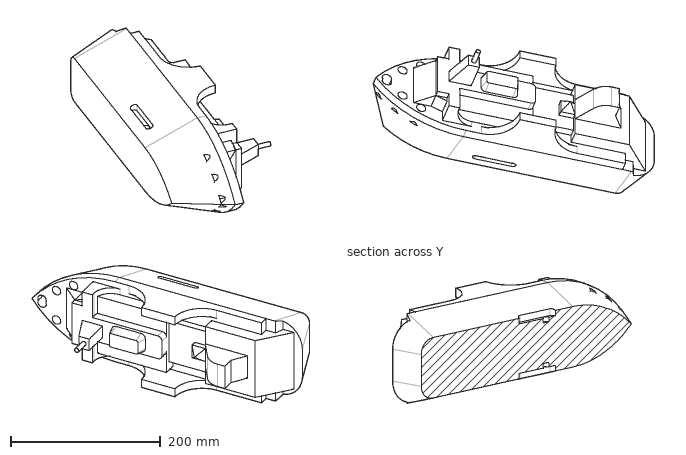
import cadquery as cq
import math

INCH = 25.4
FLARE_ANGLE = 20
FLARE = math.tan(math.radians(FLARE_ANGLE))

STERN_DECK = 2.5 * INCH
KNUCKLE = 3.0 * INCH
MAIN_DECK = 3.5 * INCH
LOW_DECK = 3.9 * INCH
HOUSE_TOP = 4.2 * INCH
BRIDGE_LEDGE = 4.37 * INCH
BRIDGE_TOP = 4.7 * INCH
CABIN_TOP = 5.25 * INCH
FUNNEL_TOP = 5.7 * INCH
MAST_BASE_TOP = 6.2 * INCH
MAST_TOP = 7.0 * INCH

KEEL_HALF_BEAM = 1.375 * INCH
STERN_CORNER_RADIUS = 0.5 * INCH
SIDE_LENGTH = 9.25 * INCH
BOW_LENGTH = 3.5 * INCH
BOW_RADIUS = (BOW_LENGTH**2 + KEEL_HALF_BEAM**2) / (2 * KEEL_HALF_BEAM)
KEEL_STERN_X = FLARE * STERN_DECK
SIDE_START_X = KEEL_STERN_X + STERN_CORNER_RADIUS
BOW_START_X = SIDE_START_X + SIDE_LENGTH
HALF_BEAM = KEEL_HALF_BEAM + FLARE * KNUCKLE
STERN_DECK_END_X = 29.2

BULWARK_START_X = 1.9 * INCH
WING_START_X = 6.2 * INCH
WING_LENGTH = 2.0 * INCH
WING_THICKNESS = 0.5 * INCH
WING_RADIUS = 1.625 * INCH

HOUSE_HALF_BEAM = 1.75 * INCH
HOUSE_FOOT_X = 0.5 * INCH
AFT_HOUSE_END_X = 124.0
LOW_DECK_HALF_BEAM = 1.25 * INCH
FORWARD_HOUSE_START_X = WING_START_X + WING_LENGTH / 2
UPPER_HOUSE_HALF_BEAM = 0.7 * INCH
UPPER_HOUSE_CORNER_RADIUS = 0.25 * INCH

SKYLIGHT_LENGTH = 20.0
SKYLIGHT_HALF_BEAM = SKYLIGHT_LENGTH / 2

FUNNEL_WIDTH = 1.375 * INCH
FUNNEL_AFT_X = 73.8
FUNNEL_AFT_HEIGHT = 21.0
FUNNEL_SLOPE = 1.5
FUNNEL_RADIUS = 1.0 * INCH

BRIDGE_AFT_X = 288.8
BRIDGE_FRONT_X = 304.0
BRIDGE_HALF_BEAM = 2.1 * INCH
BRIDGE_RADIUS = 1.0 * INCH
BRIDGE_NOSE_X = 319.8
NOSE_HALF_BEAM = 1.25 * INCH
NOSE_FLARE = 5.7
FOREDECK_END_X = 344.3

CABIN_START_X = 208.3
CABIN_LENGTH = 2.0 * INCH
CABIN_WIDTH = 1.125 * INCH
CABIN_CORNER_RADIUS = 0.25 * INCH
CABIN_TAPER = 15
MAST_BASE_AFT_X = 273.1
MAST_BASE_TOP_LENGTH = 15.5
MAST_BASE_WIDTH = 18.0
MAST_X = 280.9
MAST_DIAMETER = 0.25 * INCH

SLOT_CENTER_X = 211.0
SLOT_CENTER_HEIGHT = 21.2
SLOT_LENGTH = 2.375 * INCH
SLOT_WIDTH = 0.375 * INCH
SLOT_HOLE_X = 226.0
SLOT_HOLE_DIAMETER = 8.6
SLOT_HOLE_DEPTH = 0.25 * INCH

BOW_HOLE_DIAMETER = 0.5 * INCH
BOW_HOLE_FLOOR = 59.6
BOW_HOLE_INSET = 0.4 * INCH
BOW_HOLE_ANGLES = (25.1, 36.8, 48.3)


def hull_plan(offset, z):
    """Closed hull outline, moved outward by offset, at height z."""
    radius = BOW_RADIUS + offset
    center_y = KEEL_HALF_BEAM - BOW_RADIUS
    half_beam = KEEL_HALF_BEAM + offset
    stern_x = KEEL_STERN_X - offset
    corner_radius = STERN_CORNER_RADIUS + offset
    corner_y = half_beam - corner_radius
    corner_mid_x = SIDE_START_X - corner_radius * math.sqrt(0.5)
    corner_mid_y = corner_y + corner_radius * math.sqrt(0.5)
    tip_angle = math.acos(-center_y / radius)
    tip_x = BOW_START_X + radius * math.sin(tip_angle)
    bow_mid_x = BOW_START_X + radius * math.sin(tip_angle / 2)
    bow_mid_y = center_y + radius * math.cos(tip_angle / 2)
    return (
        cq.Workplane("XY", origin=(0, 0, z))
        .moveTo(stern_x, -corner_y)
        .threePointArc((corner_mid_x, -corner_mid_y), (SIDE_START_X, -half_beam))
        .lineTo(BOW_START_X, -half_beam)
        .threePointArc((bow_mid_x, -bow_mid_y), (tip_x, 0))
        .threePointArc((bow_mid_x, bow_mid_y), (BOW_START_X, half_beam))
        .lineTo(SIDE_START_X, half_beam)
        .threePointArc((corner_mid_x, corner_mid_y), (stern_x, corner_y))
        .close()
    )


def side_profile(points, width):
    """Prism with a side profile of (x, z) points, centred across the beam."""
    return cq.Workplane("XZ").polyline(points).close().extrude(width / 2, both=True)


def block(x_start, x_end, half_beam, z_bottom, z_top):
    """Box centred across the beam."""
    size = (x_end - x_start, 2 * half_beam, z_top - z_bottom)
    corner = (x_start, -half_beam, z_bottom)
    return cq.Workplane("XY").box(*size, centered=False).translate(corner)


def make_hull():
    """Flared hull with the lowered stern deck."""
    bottom = hull_plan(0, 0).wires().val()
    top = hull_plan(FLARE * KNUCKLE, KNUCKLE).wires().val()
    hull = cq.Workplane(cq.Solid.makeLoft([bottom, top], True))
    step_top_x = STERN_DECK_END_X + FLARE * (KNUCKLE - STERN_DECK)
    stern_clearance = [
        (-INCH, STERN_DECK),
        (STERN_DECK_END_X, STERN_DECK),
        (step_top_x, KNUCKLE),
        (-INCH, KNUCKLE),
    ]
    return hull.cut(side_profile(stern_clearance, 2 * HALF_BEAM + INCH))


def make_bulwark():
    """Vertical band above the knuckle, filled up to the main deck."""
    band = hull_plan(FLARE * KNUCKLE, KNUCKLE).extrude(MAIN_DECK - KNUCKLE)
    stern_gap = block(-INCH, BULWARK_START_X, 2 * HALF_BEAM, KNUCKLE, MAIN_DECK)
    return band.cut(stern_gap)


def make_wings():
    """Two upright side plates that sweep down to the main deck in quarter arcs."""
    wing_end_x = WING_START_X + WING_LENGTH
    wing_top = MAIN_DECK + WING_RADIUS
    diagonal = WING_RADIUS * math.sqrt(0.5)
    plates = (
        cq.Workplane("XZ")
        .moveTo(WING_START_X - WING_RADIUS, MAIN_DECK)
        .threePointArc(
            (WING_START_X - WING_RADIUS + diagonal, wing_top - diagonal),
            (WING_START_X, wing_top),
        )
        .lineTo(wing_end_x, wing_top)
        .threePointArc(
            (wing_end_x + WING_RADIUS - diagonal, wing_top - diagonal),
            (wing_end_x + WING_RADIUS, MAIN_DECK),
        )
        .lineTo(wing_end_x + WING_RADIUS, KNUCKLE)
        .lineTo(WING_START_X - WING_RADIUS, KNUCKLE)
        .close()
        .extrude(HALF_BEAM, both=True)
    )
    gap = block(0, BOW_START_X, HALF_BEAM - WING_THICKNESS, MAIN_DECK, MAST_TOP)
    return plates.cut(gap)


def make_aft_house():
    """Long deckhouse with a sloping stern face."""
    profile = [
        (HOUSE_FOOT_X, STERN_DECK),
        (BULWARK_START_X, HOUSE_TOP),
        (AFT_HOUSE_END_X, HOUSE_TOP),
        (AFT_HOUSE_END_X, STERN_DECK),
    ]
    return side_profile(profile, 2 * HOUSE_HALF_BEAM)


def make_funnel():
    """Funnel on the aft house, with a rounded shoulder and sloping front."""
    height = FUNNEL_TOP - HOUSE_TOP
    foot_x = FUNNEL_AFT_X - FUNNEL_AFT_HEIGHT / FUNNEL_SLOPE
    shoulder_x = AFT_HOUSE_END_X - height / FUNNEL_SLOPE
    profile = [
        (foot_x, HOUSE_TOP),
        (FUNNEL_AFT_X, HOUSE_TOP + FUNNEL_AFT_HEIGHT),
        (FUNNEL_AFT_X, FUNNEL_TOP),
        (shoulder_x, FUNNEL_TOP),
        (AFT_HOUSE_END_X, HOUSE_TOP),
    ]
    shoulder = cq.selectors.NearestToPointSelector((shoulder_x, 0, FUNNEL_TOP))
    return side_profile(profile, FUNNEL_WIDTH).edges(shoulder).fillet(FUNNEL_RADIUS)


def make_skylight():
    """Low deck between the houses with a pyramid skylight on a pedestal."""
    end_x = AFT_HOUSE_END_X + SKYLIGHT_LENGTH
    low_deck = block(
        AFT_HOUSE_END_X, FORWARD_HOUSE_START_X, LOW_DECK_HALF_BEAM, MAIN_DECK, LOW_DECK
    )
    pedestal = block(AFT_HOUSE_END_X, end_x, SKYLIGHT_HALF_BEAM, LOW_DECK, HOUSE_TOP)
    middle_x = AFT_HOUSE_END_X + SKYLIGHT_LENGTH / 2
    gable = [(AFT_HOUSE_END_X, HOUSE_TOP), (middle_x, BRIDGE_TOP), (end_x, HOUSE_TOP)]
    hip = [
        (-SKYLIGHT_HALF_BEAM, HOUSE_TOP),
        (0, BRIDGE_TOP),
        (SKYLIGHT_HALF_BEAM, HOUSE_TOP),
    ]
    hip_roof = cq.Workplane("YZ").polyline(hip).close().extrude(end_x)
    pyramid = side_profile(gable, 2 * SKYLIGHT_HALF_BEAM).intersect(hip_roof)
    return low_deck.union(pedestal).union(pyramid)


def make_forward_house():
    """Wide lower storey with a narrow upper storey that has a rounded aft end."""
    lower = block(
        FORWARD_HOUSE_START_X, BRIDGE_FRONT_X, HOUSE_HALF_BEAM, MAIN_DECK, HOUSE_TOP
    )
    upper = block(
        FORWARD_HOUSE_START_X, BRIDGE_FRONT_X, UPPER_HOUSE_HALF_BEAM, HOUSE_TOP, BRIDGE_TOP
    )
    upper = upper.edges("|Z and <X").fillet(UPPER_HOUSE_CORNER_RADIUS)
    return lower.union(upper)


def make_bridge():
    """Full-beam bridge with a concave aft face and a narrower nose ahead of it."""
    arc_center_x = BRIDGE_AFT_X - BRIDGE_RADIUS
    arc_top = MAIN_DECK + BRIDGE_RADIUS
    diagonal = BRIDGE_RADIUS * math.sqrt(0.5)
    bridge = (
        cq.Workplane("XZ")
        .moveTo(arc_center_x, MAIN_DECK)
        .threePointArc(
            (arc_center_x + diagonal, arc_top - diagonal), (BRIDGE_AFT_X, arc_top)
        )
        .lineTo(BRIDGE_AFT_X, BRIDGE_TOP)
        .lineTo(BRIDGE_FRONT_X, BRIDGE_TOP)
        .lineTo(BRIDGE_FRONT_X, MAIN_DECK)
        .close()
        .extrude(BRIDGE_HALF_BEAM, both=True)
    )
    nose_plan = [
        (BRIDGE_FRONT_X, -NOSE_HALF_BEAM - NOSE_FLARE),
        (BRIDGE_NOSE_X, -NOSE_HALF_BEAM),
        (BRIDGE_NOSE_X, NOSE_HALF_BEAM),
        (BRIDGE_FRONT_X, NOSE_HALF_BEAM + NOSE_FLARE),
    ]
    nose = (
        cq.Workplane("XY", origin=(0, 0, MAIN_DECK))
        .polyline(nose_plan)
        .close()
        .extrude(BRIDGE_LEDGE - MAIN_DECK)
    )
    wheelhouse = block(
        BRIDGE_FRONT_X, BRIDGE_NOSE_X, NOSE_HALF_BEAM, BRIDGE_LEDGE, BRIDGE_TOP
    )
    foredeck = side_profile(
        [
            (BRIDGE_NOSE_X, MAIN_DECK),
            (BRIDGE_NOSE_X, BRIDGE_LEDGE),
            (FOREDECK_END_X, MAIN_DECK),
        ],
        2 * NOSE_HALF_BEAM,
    )
    return bridge.union(nose).union(wheelhouse).union(foredeck)


def make_cabin():
    """Tapered box with rounded corners on the forward house."""
    sketch = cq.Sketch().rect(CABIN_LENGTH, CABIN_WIDTH)
    sketch = sketch.vertices().fillet(CABIN_CORNER_RADIUS)
    center_x = CABIN_START_X + CABIN_LENGTH / 2
    return (
        cq.Workplane("XY", origin=(center_x, 0, BRIDGE_TOP))
        .placeSketch(sketch)
        .extrude(CABIN_TOP - BRIDGE_TOP, taper=CABIN_TAPER)
    )


def make_mast():
    """Mast on a base with a raked front."""
    top_front_x = MAST_BASE_AFT_X + MAST_BASE_TOP_LENGTH
    profile = [
        (MAST_BASE_AFT_X, BRIDGE_TOP),
        (MAST_BASE_AFT_X, MAST_BASE_TOP),
        (top_front_x, MAST_BASE_TOP),
        (BRIDGE_FRONT_X, BRIDGE_TOP),
    ]
    mast = (
        cq.Workplane("XY", origin=(MAST_X, 0, MAST_BASE_TOP))
        .circle(MAST_DIAMETER / 2)
        .extrude(MAST_TOP - MAST_BASE_TOP)
    )
    return side_profile(profile, MAST_BASE_WIDTH).union(mast)


def make_side_slots():
    """Pockets with floors above the keel edges, each with a blind hole in its floor."""
    pocket = (
        cq.Workplane("XZ", origin=(0, -KEEL_HALF_BEAM, 0))
        .center(SLOT_CENTER_X, SLOT_CENTER_HEIGHT)
        .slot2D(SLOT_LENGTH, SLOT_WIDTH)
        .extrude(HALF_BEAM - KEEL_HALF_BEAM)
    )
    hole = (
        cq.Workplane("XZ", origin=(0, -KEEL_HALF_BEAM, 0))
        .center(SLOT_HOLE_X, SLOT_CENTER_HEIGHT)
        .circle(SLOT_HOLE_DIAMETER / 2)
        .extrude(-SLOT_HOLE_DEPTH)
    )
    slot = pocket.union(hole)
    return slot.union(slot.mirror("XZ"))


def make_bow_holes():
    """Flat-bottomed deck holes that break out through the flared bow sides."""
    radius = BOW_RADIUS + FLARE * KNUCKLE - BOW_HOLE_INSET
    points = []
    for angle in BOW_HOLE_ANGLES:
        turn = math.radians(angle)
        x = BOW_START_X + radius * math.sin(turn)
        y = KEEL_HALF_BEAM - BOW_RADIUS + radius * math.cos(turn)
        points += [(x, y), (x, -y)]
    holes = cq.Workplane("XY")
    for x, y in points:
        hole = (
            cq.Workplane("XY", origin=(x, y, BOW_HOLE_FLOOR))
            .circle(BOW_HOLE_DIAMETER / 2)
            .extrude(MAIN_DECK - BOW_HOLE_FLOOR)
        )
        holes = holes.union(hole)
    return holes


ship = make_hull().cut(make_side_slots())
ship = ship.union(make_bulwark()).cut(make_bow_holes())
ship = ship.union(make_wings()).union(make_aft_house()).union(make_funnel())
ship = ship.union(make_skylight()).union(make_forward_house()).union(make_bridge())
ship = ship.union(make_cabin()).union(make_mast())

result = ship.rotate((0, 0, 0), (1, 0, 0), -90)